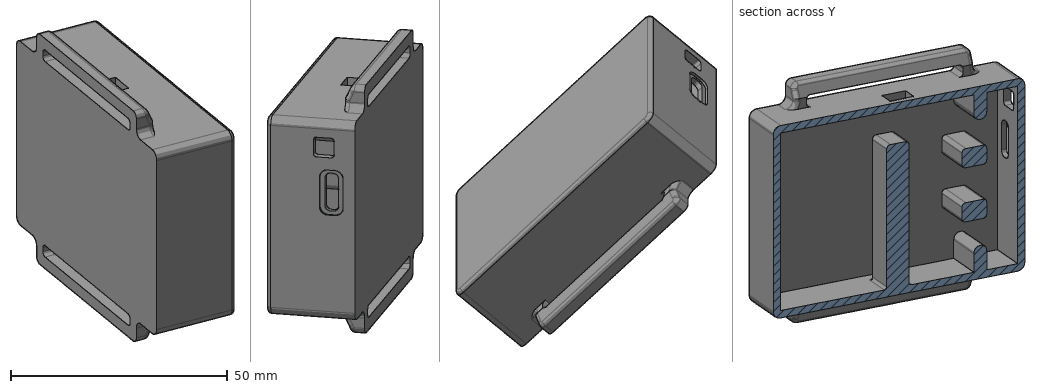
import cadquery as cq
import math

width = 66.0
depth = 21.0
height = 48.0
lug_span = 60.0
wall = 2.0
corner_radius = 2.0
small_radius = 1.0

lid_flange = small_radius
lid_thickness = 2.3

lug_width = 47.0
lug_thickness = 4.8
lug_corner_radius = 1.5
lug_root_radius = 2.0
lug_slope_height = 3.4
lug_slope_depth = 1.65
lug_edge_radius = 1.25
strap_slot_length = 41.0
strap_slot_height = 3.0

button_length, button_width = 4.75, 4.95
button_radius = 0.8
button_y, button_z = 7.4, 17.55
port_y, port_z = 5.6, 6.7
port_length, port_width = 9.2, 3.3
port_radius = 1.4
port_recess_length, port_recess_width = 10.9, 5.6
port_recess_radius = 2.0
port_recess_depth = 0.6
switch_x, switch_y = -1.5, 8.3
switch_length, switch_width = 6.2, 3.95

post_face_x = -23.05
post_z = 6.7
post_width = 4.9
post_length = 6.6
short_post_back = 14.5
boss_z = 17.35
boss_diameter = 3.5
divider_left = -2.65
divider_width = 5.95
divider_top = 13.85
divider_root_radius = 0.65
divider_front = 4.9

half_width, half_height = width / 2, height / 2
cavity_width, cavity_height = width - 2 * wall, height - 2 * wall
cavity_top = cavity_height / 2
flange_y = depth - lid_flange
cavity_back = depth - lid_thickness
lug_tip = lug_span / 2
boss_radius = boss_diameter / 2
overlap = 0.65


def block(x, y, z, length, y_back, tall):
    """Box centred on x and z that spans y to y_back."""
    return cq.Workplane("XZ", origin=(x, y, z)).rect(length, tall).extrude(y - y_back)


def rounded_block(x, y, z, length, y_back, tall, radius):
    """Block with its four edges along Y rounded."""
    return block(x, y, z, length, y_back, tall).edges("|Y").fillet(radius)


def make_envelope():
    box = rounded_block(0, 0, 0, width, depth, height, corner_radius)
    return box.faces(">Y").edges().fillet(small_radius)


def make_flared_plate():
    """Lug outline that flares into a strip set in the box wall, with rounded back edges."""
    half_lug = lug_width / 2
    flare = half_lug + lug_root_radius
    root_end = half_height + lug_root_radius
    strip_end = half_width - corner_radius
    strip_bottom = half_height - wall
    plate = (
        cq.Workplane("XZ")
        .moveTo(-strip_end, strip_bottom)
        .lineTo(-strip_end, half_height)
        .lineTo(-flare, half_height)
        .radiusArc((-half_lug, root_end), -lug_root_radius)
        .lineTo(-half_lug, lug_tip)
        .lineTo(half_lug, lug_tip)
        .lineTo(half_lug, root_end)
        .radiusArc((flare, half_height), -lug_root_radius)
        .lineTo(strip_end, half_height)
        .lineTo(strip_end, strip_bottom)
        .close()
        .extrude(-lug_thickness)
    )
    plate = plate.edges("|Y and >Z").fillet(lug_corner_radius)
    rounded_edges = cq.selectors.BoxSelector(
        (-width, lug_thickness / 2, strip_bottom + overlap), (width, depth, lug_span)
    )
    return plate.faces(">Y").edges(rounded_edges).edges("not (<X or >X)").fillet(lug_edge_radius)


def make_sloped_plate():
    """Straight-sided plate whose back slopes toward the lug tip, with rounded back edges."""
    slope = lug_slope_depth / lug_slope_height
    tip_thickness = lug_thickness - lug_slope_depth
    plate = (
        cq.Workplane("YZ", origin=(-lug_width / 2, 0, 0))
        .moveTo(0, 0)
        .lineTo(0, lug_tip)
        .lineTo(tip_thickness, lug_tip)
        .lineTo(tip_thickness + slope * lug_tip, 0)
        .close()
        .extrude(lug_width)
    )
    plate = plate.edges("|Y and >Z").fillet(lug_corner_radius)
    return plate.faces(">Y").edges("not <Z").fillet(lug_edge_radius)


def make_top_lug():
    """Lug above the box with a strap slot through it along Y."""
    slope_limit = block(0, 0, 0, width, lug_thickness, height + 2 * lug_root_radius)
    lug = make_flared_plate().intersect(make_sloped_plate().union(slope_limit))
    slot_z = half_height + strap_slot_height / 2
    slot = rounded_block(0, 0, slot_z, strap_slot_length, lug_thickness, strap_slot_height, small_radius)
    return lug.cut(slot)


def side_opening(y, z, depth_in, size_y, size_z, radius):
    """Rounded opening cut from the left face, depth_in along X."""
    opening = cq.Workplane("YZ", origin=(-half_width, y, z)).rect(size_y, size_z).extrude(depth_in)
    return opening.edges("|X").fillet(radius)


def cut_openings(body):
    """Button and recessed port in the left wall, switch window in the top wall."""
    body = body.cut(side_opening(button_y, button_z, wall, button_width, button_length, button_radius))
    body = body.cut(side_opening(port_y, port_z, port_recess_depth, port_recess_width,
                                 port_recess_length, port_recess_radius))
    body = body.cut(side_opening(port_y, port_z, wall, port_width, port_length, port_radius))
    switch_z = half_height - wall / 2
    return body.cut(block(switch_x, switch_y - switch_width / 2, switch_z,
                          switch_length, switch_y + switch_width / 2, wall))


def make_post(z, y_back):
    centre_x = post_face_x + post_length / 2
    return rounded_block(centre_x, wall, z, post_length, y_back, post_width, small_radius)


def make_boss(z):
    """Round boss joined to the nearer of the top and bottom walls by a web of its own width."""
    boss_x = post_face_x + boss_radius
    boss = cq.Workplane("XZ", origin=(boss_x, wall, z)).circle(boss_radius).extrude(wall - cavity_back)
    web_end = math.copysign(cavity_top, z)
    web = block(boss_x, wall, (z + web_end) / 2, 2 * boss_radius, cavity_back, abs(web_end - z))
    return boss.union(web)


def make_divider():
    """Wall that stands on the bottom wall, with a gap between it and the floor."""
    right = divider_left + divider_width
    bottom = -cavity_top
    root_end = bottom + divider_root_radius
    divider = (
        cq.Workplane("XZ", origin=(0, divider_front, 0))
        .moveTo(divider_left - divider_root_radius, bottom)
        .radiusArc((divider_left, root_end), -divider_root_radius)
        .lineTo(divider_left, divider_top)
        .lineTo(right, divider_top)
        .lineTo(right, root_end)
        .radiusArc((right + divider_root_radius, bottom), -divider_root_radius)
        .close()
        .extrude(divider_front - cavity_back)
    )
    return divider.edges("|Y and >Z").fillet(small_radius)


def make_supports():
    """A short and a full-depth post, two bosses and the divider."""
    return [
        make_post(post_z, short_post_back),
        make_post(-post_z, cavity_back),
        make_boss(boss_z),
        make_boss(-boss_z),
        make_divider(),
    ]


def make_housing():
    front_part = block(0, 0, 0, width, flange_y, height)
    body = make_envelope().intersect(front_part)
    body = body.cut(block(0, wall, 0, cavity_width, depth, cavity_height))
    top_lug = make_top_lug()
    body = body.union(top_lug).union(top_lug.mirror("XY"))
    body = cut_openings(body)
    for support in make_supports():
        body = body.union(support)
    return body


def make_lid():
    """Back flange with rounded edges and a plug that fills the cavity mouth."""
    lid = make_envelope().intersect(block(0, flange_y, 0, width, depth, height))
    return lid.union(block(0, cavity_back, 0, cavity_width, flange_y, cavity_height))


housing = make_housing()
lid = make_lid()
result = cq.Compound.makeCompound([housing.val(), lid.val()])